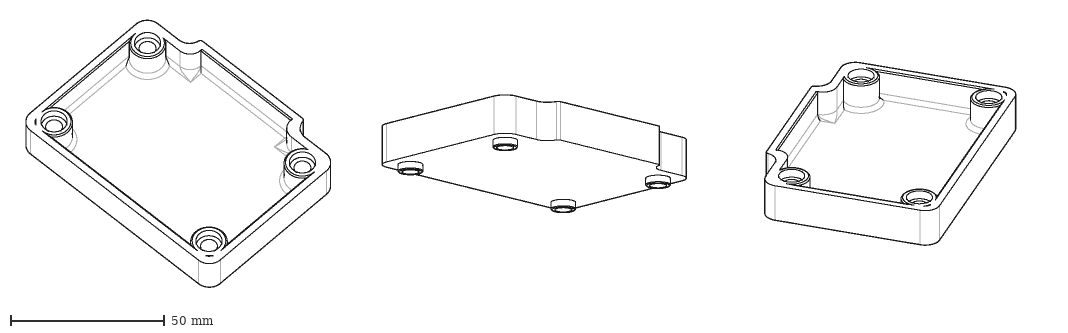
import cadquery as cq
import math

length = 86.0
depth = 65.0
tab_depth = 5.0
body_height = 13.0
wall = 3.0
floor_thickness = 3.0
corner_radius = 5.0
tab_half_width = 22.5
tab_corner_radius = 1.0
shoulder_radius = 5.0
inner_tab_half_width = 20.4
inner_shoulder_radius = 4.8
floor_fillet = 1.5
rim_chamfer = 0.5

hole_inset = 8.0
hole_diameter = 5.5
counterbore_diameter = 8.5
counterbore_depth = 2.9
foot_height = 2.5
foot_diameter = 8.1
foot_chamfer = 0.3

half_length = length / 2
front = -depth / 2
back = depth / 2
shoulder = back - tab_depth
inner_side = half_length - wall
inner_front = front + wall
inner_back = back - wall
inner_shoulder = shoulder - wall
hole_x = half_length - hole_inset
hole_front = front + hole_inset
hole_back = shoulder - hole_inset
hole_points = [(x, y) for x in (-hole_x, hole_x) for y in (hole_front, hole_back)]

boss_radius = hole_inset - wall + 2 * rim_chamfer
boss_top_radius = boss_radius - rim_chamfer


def upright_edges(solid, points):
    """The vertical edges of a solid that stand at the given XY points."""
    reach = 0.1
    near = [
        cq.selectors.BoxSelector((x - reach, y - reach, 0), (x + reach, y + reach, body_height))
        for x, y in points
    ]
    selector = near[0]
    for box in near[1:]:
        selector = selector + box
    return solid.edges("|Z").edges(selector)


def outer_body():
    """Solid block with rounded corners and a tab blended into the rear shoulders."""
    radius_sum = shoulder_radius + tab_corner_radius
    blend_run = math.sqrt(radius_sum**2 - (radius_sum - tab_depth) ** 2)
    blend_start = tab_half_width + blend_run
    meet_x = blend_start - blend_run * shoulder_radius / radius_sum
    meet_y = shoulder + tab_depth * shoulder_radius / radius_sum
    block = (
        cq.Workplane("XY")
        .moveTo(-half_length, front)
        .lineTo(half_length, front)
        .lineTo(half_length, shoulder)
        .lineTo(blend_start, shoulder)
        .radiusArc((meet_x, meet_y), shoulder_radius)
        .radiusArc((tab_half_width, back), -tab_corner_radius)
        .lineTo(-tab_half_width, back)
        .radiusArc((-meet_x, meet_y), -tab_corner_radius)
        .radiusArc((-blend_start, shoulder), shoulder_radius)
        .lineTo(-half_length, shoulder)
        .close()
        .extrude(body_height)
    )
    corners = [(x, y) for x in (-half_length, half_length) for y in (front, shoulder)]
    return upright_edges(block, corners).fillet(corner_radius)


def pocket():
    """Cavity with a filleted floor; its shoulder corners are rounded above the fillet."""
    cavity = (
        cq.Workplane("XY")
        .workplane(offset=floor_thickness)
        .moveTo(-inner_side, inner_front)
        .lineTo(inner_side, inner_front)
        .lineTo(inner_side, inner_shoulder)
        .lineTo(inner_tab_half_width, inner_shoulder)
        .lineTo(inner_tab_half_width, inner_back)
        .lineTo(-inner_tab_half_width, inner_back)
        .lineTo(-inner_tab_half_width, inner_shoulder)
        .lineTo(-inner_side, inner_shoulder)
        .close()
        .extrude(body_height - floor_thickness)
    )
    sides = (-inner_side, inner_side)
    tab_sides = (-inner_tab_half_width, inner_tab_half_width)
    cavity = upright_edges(cavity, [(x, inner_front) for x in sides]).fillet(corner_radius - wall)
    cavity = upright_edges(cavity, [(x, inner_shoulder) for x in sides]).fillet(hole_inset - wall)
    cavity = cavity.faces("<Z").edges().fillet(floor_fillet)
    return upright_edges(cavity, [(x, inner_shoulder) for x in tab_sides]).fillet(inner_shoulder_radius)


def rim_bevel(middle, outward, run):
    """Triangular cutter that chamfers a straight inner rim edge of length run."""
    outward = cq.Vector(*outward)
    along = outward.cross(cq.Vector(0, 0, 1))
    start = cq.Vector(*middle, body_height) - along * (run / 2)
    return (
        cq.Workplane(cq.Plane(start, outward, along))
        .polyline([(0, 0), (rim_chamfer, 0), (0, -rim_chamfer)])
        .close()
        .extrude(run)
    )


def rim_bevels():
    """Chamfer cutters for the side, front and tab walls; the shoulders stay sharp."""
    side_middle = (hole_front + hole_back) / 2
    side_run = hole_back - hole_front
    return (
        rim_bevel((-inner_side, side_middle), (-1, 0, 0), side_run)
        .union(rim_bevel((inner_side, side_middle), (1, 0, 0), side_run))
        .union(rim_bevel((0, inner_front), (0, -1, 0), 2 * hole_x))
        .union(rim_bevel((0, inner_back), (0, 1, 0), 2 * inner_tab_half_width))
    )


def boss(x, y):
    """Screw boss with a flared base, chamfered on top except towards its corner."""
    flare_top = floor_thickness + floor_fillet
    flare_radius = boss_radius + floor_fillet
    flare_drop = floor_fillet * math.sqrt(0.5)
    flare_middle = (flare_radius - flare_drop, flare_top - flare_drop)
    turned = (
        cq.Workplane("XZ")
        .lineTo(flare_radius, 0)
        .lineTo(flare_radius, floor_thickness)
        .threePointArc(flare_middle, (boss_radius, flare_top))
        .lineTo(boss_radius, body_height - rim_chamfer)
        .lineTo(boss_top_radius, body_height)
        .lineTo(0, body_height)
        .close()
        .revolve(360, (0, 0, 0), (0, 1, 0))
    )
    corner_x = math.copysign(boss_radius / 2, x)
    corner_y = math.copysign(boss_radius / 2, y)
    corner_block = (
        cq.Workplane("XY")
        .center(corner_x, corner_y)
        .rect(boss_radius, boss_radius)
        .extrude(body_height)
    )
    corner_fill = cq.Workplane("XY").circle(boss_radius).extrude(body_height).intersect(corner_block)
    return turned.union(corner_fill).translate((x, y, 0))


def foot(x, y):
    """Short round foot under a boss, chamfered at its lower edge."""
    round_foot = cq.Workplane("XY").circle(foot_diameter / 2).extrude(-foot_height)
    return round_foot.faces("<Z").chamfer(foot_chamfer).translate((x, y, 0))


result = outer_body().cut(pocket()).cut(rim_bevels())
for x, y in hole_points:
    result = result.union(boss(x, y)).union(foot(x, y))
result = (
    result.faces(">Z")
    .workplane(origin=(0, 0, body_height))
    .pushPoints(hole_points)
    .cboreHole(hole_diameter, counterbore_diameter, counterbore_depth)
)